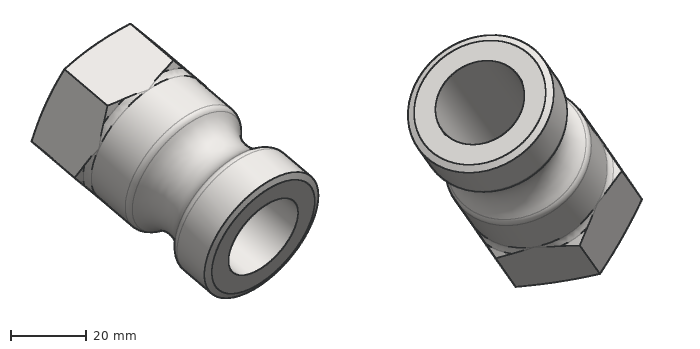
import cadquery as cq
import math

LENGTH = 67.0
BODY_DIA = 41.0
BODY_R = BODY_DIA / 2

HEX_SIDES = 6
CORNER_R = BODY_R / math.cos(math.pi / HEX_SIDES)
FACE_R = 40.0 / 2
FRONT_CHAMFER_ANGLE = 15.0
HEX_CORNER_END = 18.1
REAR_CHAMFER_ANGLE = 30.0
NECK_FILLET_R = 2.2

GROOVE_X = 44.95
GROOVE_FLOOR_R = 15.7
GROOVE_ARC_R = 11.0
GROOVE_EDGE_R = 2.4

END_CHAMFER_LENGTH = 0.75
END_CHAMFER_DEPTH = 2.0

THROUGH_R = 25.0 / 2
SOCKET_R = 30.3 / 2
MOUTH_R = 34.3 / 2
MOUTH_ANGLE = 45.0
SOCKET_DEPTH = 15.3
SOCKET_FLOOR_ANGLE = 30.0


def tan_deg(angle):
    return math.tan(math.radians(angle))


def arc_point(center, radius, angle):
    """Point on a circle, with the angle in degrees from +X."""
    turn = math.radians(angle)
    return (center[0] + radius * math.cos(turn), center[1] + radius * math.sin(turn))


def revolve_about_x(profile):
    return profile.close().revolve(360, (0, 0, 0), (1, 0, 0))


NECK_X = HEX_CORNER_END + (CORNER_R - BODY_R) * tan_deg(REAR_CHAMFER_ANGLE)
BODY_START_X = NECK_X + NECK_FILLET_R * tan_deg((90 - REAR_CHAMFER_ANGLE) / 2)


def make_hex_end():
    """Hex prism chamfered at both ends, its rear cone blending into the body."""
    front_corner_x = (CORNER_R - FACE_R) * tan_deg(FRONT_CHAMFER_ANGLE)
    fillet_center = (BODY_START_X, BODY_R + NECK_FILLET_R)
    cone_tangent_angle = 180 + REAR_CHAMFER_ANGLE
    fillet_start = arc_point(fillet_center, NECK_FILLET_R, cone_tangent_angle)
    fillet_middle = arc_point(fillet_center, NECK_FILLET_R, (cone_tangent_angle + 270) / 2)

    envelope = revolve_about_x(
        cq.Workplane("XY")
        .moveTo(0, 0)
        .lineTo(0, FACE_R)
        .lineTo(front_corner_x, CORNER_R)
        .lineTo(HEX_CORNER_END, CORNER_R)
        .lineTo(*fillet_start)
        .threePointArc(fillet_middle, (BODY_START_X, BODY_R))
        .lineTo(BODY_START_X, 0)
    )
    prism = cq.Workplane("YZ").polygon(HEX_SIDES, 2 * CORNER_R).extrude(BODY_START_X)
    return prism.intersect(envelope)


def make_body():
    """Round body with the locking groove, butted against the hex end."""
    groove_center = (GROOVE_X, GROOVE_FLOOR_R + GROOVE_ARC_R)
    edge_center_r = BODY_R - GROOVE_EDGE_R
    center_distance = GROOVE_ARC_R + GROOVE_EDGE_R
    half_width = math.sqrt(center_distance**2 - (groove_center[1] - edge_center_r) ** 2)
    tangent_angle = math.degrees(math.atan2(groove_center[1] - edge_center_r, half_width))
    left_center = (GROOVE_X - half_width, edge_center_r)
    right_center = (GROOVE_X + half_width, edge_center_r)
    left_middle_angle = (90 + tangent_angle) / 2

    return revolve_about_x(
        cq.Workplane("XY")
        .moveTo(BODY_START_X, 0)
        .lineTo(BODY_START_X, BODY_R)
        .lineTo(left_center[0], BODY_R)
        .threePointArc(
            arc_point(left_center, GROOVE_EDGE_R, left_middle_angle),
            arc_point(left_center, GROOVE_EDGE_R, tangent_angle),
        )
        .threePointArc(
            (GROOVE_X, GROOVE_FLOOR_R),
            arc_point(right_center, GROOVE_EDGE_R, 180 - tangent_angle),
        )
        .threePointArc(
            arc_point(right_center, GROOVE_EDGE_R, 180 - left_middle_angle),
            (right_center[0], BODY_R),
        )
        .lineTo(LENGTH - END_CHAMFER_LENGTH, BODY_R)
        .lineTo(LENGTH, BODY_R - END_CHAMFER_DEPTH)
        .lineTo(LENGTH, 0)
    )


def make_bore():
    """Through bore opening into a wider socket with a conical floor and mouth."""
    mouth_depth = (MOUTH_R - SOCKET_R) / tan_deg(MOUTH_ANGLE)
    floor_end_x = SOCKET_DEPTH + (SOCKET_R - THROUGH_R) * tan_deg(SOCKET_FLOOR_ANGLE)
    return revolve_about_x(
        cq.Workplane("XY")
        .moveTo(0, 0)
        .lineTo(0, MOUTH_R)
        .lineTo(mouth_depth, SOCKET_R)
        .lineTo(SOCKET_DEPTH, SOCKET_R)
        .lineTo(floor_end_x, THROUGH_R)
        .lineTo(LENGTH, THROUGH_R)
        .lineTo(LENGTH, 0)
    )


result = make_hex_end().union(make_body()).cut(make_bore())